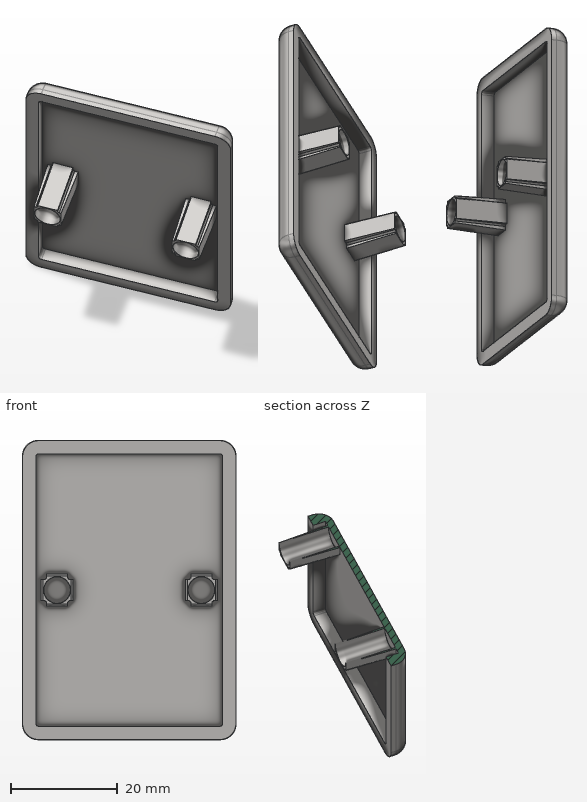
import cadquery as cq

plate_width = 40.0
plate_height = 56.0
plate_thickness = 4.0
corner_radius = 3.0
edge_radius = 2.95

rim_width = 2.5
recess_depth = 2.5
recess_corner_radius = 0.55

total_depth = 11.5
post_length = total_depth - plate_thickness + recess_depth
post_offset = 13.5
post_base_span = 6.0
post_tip_span = 5.25
arm_width = 3.9
corner_web = 0.35
bore_diameter = 5.0

floor_y = recess_depth


def make_plate():
    plate = (
        cq.Workplane("XZ")
        .rect(plate_width, plate_height)
        .extrude(-plate_thickness)
        .edges("|Y")
        .fillet(corner_radius)
        .faces(">Y")
        .edges()
        .fillet(edge_radius)
    )
    recess = (
        cq.Workplane("XZ")
        .rect(plate_width - 2 * rim_width, plate_height - 2 * rim_width)
        .extrude(-recess_depth)
        .edges("|Y")
        .fillet(recess_corner_radius)
    )
    return plate.cut(recess)


def make_post():
    """Post on the Y axis, running from the recess floor toward -Y."""
    tip_y = floor_y - post_length
    arm_pair = (
        cq.Workplane("XY")
        .polyline([
            (-post_base_span / 2, floor_y),
            (post_base_span / 2, floor_y),
            (post_tip_span / 2, tip_y),
            (-post_tip_span / 2, tip_y),
        ])
        .close()
        .extrude(arm_width / 2, both=True)
    )
    crossed_pair = arm_pair.rotate((0, 0, 0), (0, 1, 0), 90)
    core_side = arm_width + 2 * corner_web
    floor_plane = cq.Workplane("XZ", origin=(0, floor_y, 0))
    core = (
        floor_plane.rect(core_side, core_side)
        .extrude(post_length)
        .edges("|Y")
        .chamfer(corner_web)
    )
    bore = floor_plane.circle(bore_diameter / 2).extrude(post_length)
    return arm_pair.union(crossed_pair).union(core).cut(bore)


result = make_plate()
for side in (-1, 1):
    result = result.union(make_post().translate((side * post_offset, 0, 0)))